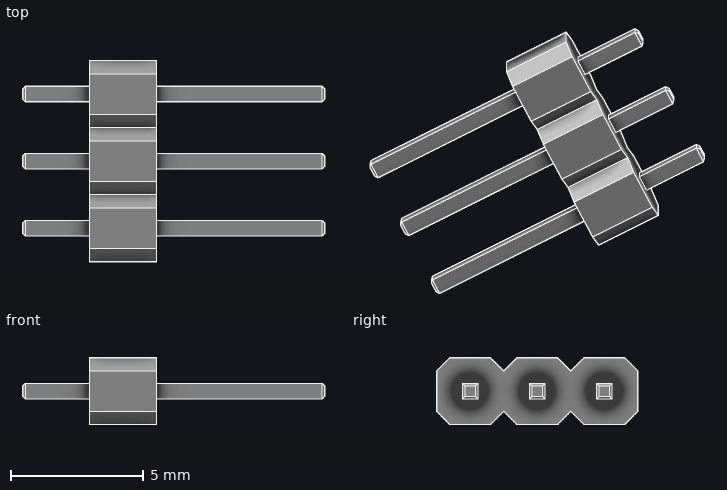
import cadquery as cq

pin_count = 3
pitch = 2.54
pin_length = 11.44
pin_width = 0.6
pin_tip_chamfer = 0.1
body_depth = pitch
body_height = pitch
body_chamfer = 0.5
short_pin_end = 2.53

body_center_x = -pin_length / 2 + short_pin_end + body_depth / 2
pin_positions = [(i - (pin_count - 1) / 2) * pitch for i in range(pin_count)]


def housing_cell(y):
    """Octagonal housing block, with its four long X edges chamfered."""
    block = cq.Workplane("XY").box(body_depth, pitch, body_height)
    return block.edges("|X").chamfer(body_chamfer).translate((body_center_x, y, 0))


def pin(y):
    """Square pin along X with both tips chamfered."""
    bar = cq.Workplane("XY").box(pin_length, pin_width, pin_width)
    return bar.faces("<X or >X").chamfer(pin_tip_chamfer).translate((0, y, 0))


result = cq.Workplane("XY")
for y in pin_positions:
    result = result.union(housing_cell(y)).union(pin(y))